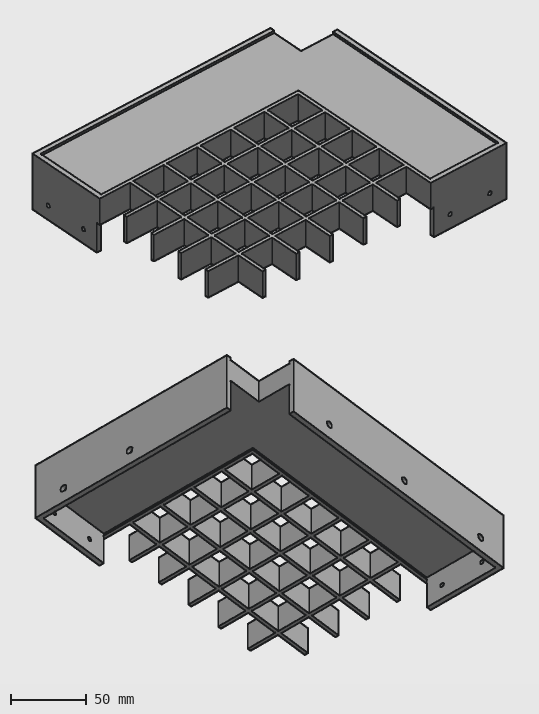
import cadquery as cq

length = 242.5
width = 199.5
height = 46.0

arm_width = 67.2
outer_wall = 4.0
inner_wall = 3.0
inner_wall_bottom = 24.3
deck_bottom = 26.0
deck_recess = 2.0
notch_x = 30.5
notch_y = 32.0

bar_thickness = 3.0
cells_x = 5
cells_y = 6

hole_height = 12.0
large_hole = 5.0
small_hole = 3.2
left_wall_hole_ys = (23.0, 99.5, 174.7)
back_wall_hole_xs = (116.5, 174.7)
left_arm_first_hole = 15.8
back_arm_first_hole = 14.8
end_hole_spacing = 35.2

inner_y = length - arm_width


def box(x_min, x_max, y_min, y_max, z_min, z_max):
    size = (x_max - x_min, y_max - y_min, z_max - z_min)
    return cq.Workplane("XY").box(*size, centered=False).translate((x_min, y_min, z_min))


def l_prism(outer_inset, inner_inset, z_min, z_max):
    """L-shaped prism inset from the outer and end faces, and from the inner faces."""
    left = outer_inset
    right = width - outer_inset
    front = outer_inset
    back = length - outer_inset
    arm_left = box(left, arm_width - inner_inset, front, back, z_min, z_max)
    arm_back = box(left, right, inner_y + inner_inset, back, z_min, z_max)
    return arm_left.union(arm_back)


def make_housing():
    body = l_prism(0, 0, 0, height)
    recess = l_prism(outer_wall, inner_wall, height - deck_recess, height)
    cavity = l_prism(outer_wall, inner_wall, 0, deck_bottom)
    corner_notch = box(0, notch_x, length - notch_y, length, 0, height)
    body = body.cut(recess).cut(cavity).cut(corner_notch)

    opening_x = arm_width - inner_wall
    opening_y = inner_y + inner_wall
    side_opening = box(opening_x, width, 0, opening_y, 0, inner_wall_bottom)
    return body.cut(side_opening)


def make_grid():
    cell_x = (width - arm_width - (cells_x - 1) * bar_thickness) / cells_x
    cell_y = (inner_y - (cells_y - 1) * bar_thickness) / cells_y
    start_x = arm_width - inner_wall / 2
    end_y = inner_y + inner_wall / 2
    grid = cq.Workplane("XY")
    for i in range(1, cells_x):
        x = arm_width + i * cell_x + (i - 1) * bar_thickness
        grid = grid.union(box(x, x + bar_thickness, 0, end_y, inner_wall_bottom, height))
    for j in range(1, cells_y):
        y = j * cell_y + (j - 1) * bar_thickness
        grid = grid.union(box(start_x, width, y, y + bar_thickness, inner_wall_bottom, height))
    return grid


def hole_along_x(wall_x, y, diameter):
    """Cutter through an outer wall whose lower-X face is at wall_x."""
    hole = cq.Workplane("YZ", origin=(wall_x, y, hole_height))
    return hole.circle(diameter / 2).extrude(outer_wall)


def hole_along_y(x, wall_y, diameter):
    """Cutter through an outer wall whose lower-Y face is at wall_y."""
    hole = cq.Workplane("XZ", origin=(x, wall_y, hole_height))
    return hole.circle(diameter / 2).extrude(-outer_wall)


result = make_housing().union(make_grid())

for hole_y in left_wall_hole_ys:
    result = result.cut(hole_along_x(0, hole_y, large_hole))
for hole_x in back_wall_hole_xs:
    result = result.cut(hole_along_y(hole_x, length - outer_wall, large_hole))
for spacing in (0, end_hole_spacing):
    left_arm_hole_x = left_arm_first_hole + spacing
    back_arm_hole_y = length - back_arm_first_hole - spacing
    result = result.cut(hole_along_y(left_arm_hole_x, 0, small_hole))
    result = result.cut(hole_along_x(width - outer_wall, back_arm_hole_y, small_hole))